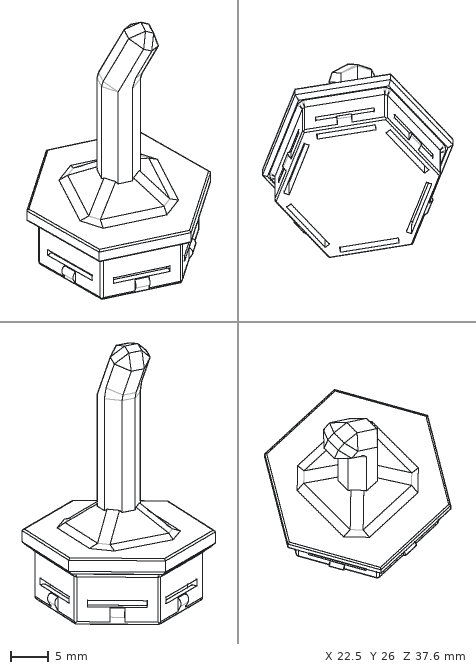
import cadquery as cq
import math


SIDES = 6
SAME_POINT = 1e-6

body_apothem = 9.85
corner_trim = 0.12
bottom_chamfer_height = 0.44
bottom_chamfer_inset = 0.22

flare_height = 0.7
flare_taper = 45

flange_apothem = 11.25
flange_bottom = 7.55
flange_top = 10.0
flange_bottom_chamfer = 0.6
flange_top_chamfer = 0.25

slot_length = 8.0
slot_height = 0.95
slot_bottom = 2.55
slot_depth = 1.5
strip_thickness = 0.75

clip_width = 2.0
clip_radius = 0.85
clip_reach = 0.5

peg_half = 2.75
peg_chamfer = 1.75
bend_height = 29.55
bend_angle = 0.506
total_height = 37.59

foot_half = 6.95
foot_flat_half = 4.5
skirt_half = 5.73
skirt_height = 0.53
cone_run = 3.5
cone_slope = 1.0


def hexagon(apothem, z):
    """Workplane at height z holding a hexagon with corners on the Y axis."""
    across_corners = 2 * apothem / math.cos(math.pi / SIDES)
    plane = cq.Workplane("XY").workplane(offset=z).transformed(rotate=(0, 0, 90))
    return plane.polygon(SIDES, across_corners)


def hex_prism(apothem, bottom, top):
    return hexagon(apothem, bottom).extrude(top - bottom)


def hex_frustum(bottom_apothem, bottom, top_apothem, top):
    lower = hexagon(bottom_apothem, bottom).wire().val()
    upper = hexagon(top_apothem, top).wire().val()
    return cq.Workplane(cq.Solid.makeLoft([lower, upper], True))


def trimmed_hexagon(apothem):
    """Corner points of the body hexagon with each corner cut flat."""
    radius = apothem / math.cos(math.pi / SIDES)
    half_trim = corner_trim * math.tan(math.pi / 3)
    points = []
    for i in range(SIDES):
        angle = math.pi / 2 + i * 2 * math.pi / SIDES
        for side in (-half_trim, half_trim):
            along = radius - corner_trim
            points.append((
                along * math.cos(angle) - side * math.sin(angle),
                along * math.sin(angle) + side * math.cos(angle),
            ))
    return points


def make_body():
    trimmed = cq.Workplane("XY").polyline(trimmed_hexagon(body_apothem)).close().extrude(flange_bottom)
    chamfer = hex_frustum(body_apothem - bottom_chamfer_inset, 0, body_apothem, bottom_chamfer_height)
    upper = hex_prism(body_apothem, bottom_chamfer_height, flange_bottom)
    return trimmed.intersect(chamfer.union(upper))


def make_flare():
    plane = cq.Workplane("XY").workplane(offset=flange_bottom - flare_height)
    outline = plane.polyline(trimmed_hexagon(body_apothem)).close()
    return outline.extrude(flare_height, taper=-flare_taper)


def make_flange():
    lower_edge = flange_bottom + flange_bottom_chamfer
    upper_edge = flange_top - flange_top_chamfer
    lower = hex_frustum(flange_apothem - flange_bottom_chamfer, flange_bottom, flange_apothem, lower_edge)
    middle = hex_prism(flange_apothem, lower_edge, upper_edge)
    upper = hex_frustum(flange_apothem, upper_edge, flange_apothem - flange_top_chamfer, flange_top)
    return lower.union(middle).union(upper)


def around_sides(shape):
    """Six copies of a shape made on the +X face, one for each side face."""
    copies = cq.Workplane("XY")
    for i in range(SIDES):
        copies = copies.add(shape.rotate((0, 0, 0), (0, 0, 1), i * 360 / SIDES))
    return copies.combine()


def make_slot():
    """Slot through the strip, opening into a gap behind the strip that is open at the underside."""
    slot_floor = body_apothem - slot_depth
    gap_width = slot_depth - strip_thickness
    slot = cq.Workplane("XY").box(slot_depth, slot_length, slot_height, centered=(False, True, False))
    gap = cq.Workplane("XY").box(gap_width, slot_length, slot_bottom, centered=(False, True, False))
    return slot.translate((slot_floor, 0, slot_bottom)).union(gap.translate((slot_floor, 0, 0)))


def make_clip():
    """Bump with a round back, tangent to a ramp that carries on the plane of the bottom chamfer."""
    ramp_angle = math.atan2(bottom_chamfer_inset, bottom_chamfer_height)
    foot_x = body_apothem - bottom_chamfer_inset
    center_x = body_apothem + clip_reach - clip_radius
    center_z = (clip_radius + (center_x - foot_x) * math.cos(ramp_angle)) / math.sin(ramp_angle)
    clip_top = center_z + math.sqrt(clip_radius**2 - (body_apothem - center_x) ** 2)
    bulge = (body_apothem + clip_reach, center_z)
    ramp_start = (
        center_x + clip_radius * math.cos(ramp_angle),
        center_z - clip_radius * math.sin(ramp_angle),
    )
    root_x = body_apothem - strip_thickness
    profile = (
        cq.Workplane("XZ")
        .moveTo(root_x, clip_top)
        .lineTo(body_apothem, clip_top)
        .threePointArc(bulge, ramp_start)
        .lineTo(foot_x, 0)
        .lineTo(root_x, 0)
        .close()
    )
    return profile.extrude(clip_width / 2, both=True)


def octagon_wire(half, flat_half, z):
    points = []
    for sx, sy in ((1, 1), (-1, 1), (-1, -1), (1, -1)):
        pair = [(sx * half, sy * flat_half, z), (sx * flat_half, sy * half, z)]
        points += pair if sx == sy else pair[::-1]
    return cq.Wire.makePolygon([cq.Vector(*p) for p in points], close=True)


def make_foot():
    skirt_top = flange_top + skirt_height
    cone_top = skirt_top + cone_run * cone_slope
    base = octagon_wire(foot_half, foot_flat_half, flange_top)
    ring = octagon_wire(skirt_half, foot_flat_half, skirt_top)
    top = octagon_wire(skirt_half - cone_run, foot_flat_half - cone_run, cone_top)
    skirt = cq.Workplane(cq.Solid.makeLoft([base, ring], True))
    return skirt.union(cq.Workplane(cq.Solid.makeLoft([ring, top], True)))


def flat_face(points):
    """Planar face through the points, with repeated points dropped."""
    distinct = []
    for point in points:
        vector = cq.Vector(*point)
        if all((vector - other).Length > SAME_POINT for other in distinct):
            distinct.append(vector)
    return cq.Face.makeFromWires(cq.Wire.makePolygon(distinct, close=True))


def make_peg():
    """Bent bar, chamfered along every edge and at the tip, built face by face.

    "outer" is the (y, z) outline of the middle strip, "inset" that of the two side flats;
    a chamfer facet joins each outer edge to the matching inset edge.
    """
    sin_a = math.sin(bend_angle)
    cos_a = math.cos(bend_angle)
    flat_half = peg_half - peg_chamfer

    def shifted(point, along, across):
        """Move along the bent axis, and across it toward +Y."""
        y, z = point
        return (y + along * sin_a + across * cos_a, z + along * cos_a - across * sin_a)

    back_low = (-peg_half, bend_height)
    front_low = (peg_half, bend_height)
    back_high = shifted((-flat_half, bend_height), 0, -peg_chamfer)
    front_high = (back_high[0] + 2 * peg_half, back_high[1])
    tip_height = total_height - back_high[1]
    peg_tip_run = (tip_height + peg_chamfer * sin_a) / cos_a - peg_chamfer
    back_tip = shifted(back_high, peg_tip_run, 0)
    front_tip = shifted(front_high, peg_tip_run - 2 * peg_half * sin_a, 0)
    outer = [
        (-peg_half, flange_top),
        back_low,
        back_high,
        back_tip,
        shifted(back_tip, peg_chamfer, peg_chamfer),
        shifted(front_tip, peg_chamfer, -peg_chamfer),
        front_tip,
        front_high,
        front_low,
        (peg_half, flange_top),
    ]
    back_tip_inset = shifted(back_tip, 0, peg_chamfer)
    front_tip_inset = shifted(front_tip, 0, -peg_chamfer)
    inset = [
        (-flat_half, flange_top),
        (-flat_half, bend_height),
        (-flat_half, bend_height),
        back_tip_inset,
        back_tip_inset,
        front_tip_inset,
        front_tip_inset,
        shifted(front_high, 0, -peg_chamfer),
        (flat_half, bend_height),
        (flat_half, flange_top),
    ]

    faces = []
    for i in range(len(outer) - 1):
        edge = outer[i:i + 2]
        inset_edge = inset[i:i + 2]
        strip = [(-flat_half, *edge[0]), (-flat_half, *edge[1]), (flat_half, *edge[1]), (flat_half, *edge[0])]
        faces.append(flat_face(strip))
        for side in (-1, 1):
            near = [(side * flat_half, *p) for p in edge]
            far = [(side * peg_half, *p) for p in reversed(inset_edge)]
            faces.append(flat_face(near + far))
    for side in (-1, 1):
        faces.append(flat_face([(side * peg_half, *p) for p in inset]))
    faces.append(cq.Face.makeFromWires(octagon_wire(peg_half, flat_half, flange_top)))
    return cq.Workplane(cq.Solid.makeSolid(cq.Shell.makeShell(faces)))


result = (
    make_body()
    .union(make_flare())
    .union(make_flange())
    .union(around_sides(make_clip()))
    .cut(around_sides(make_slot()))
    .union(make_foot())
    .union(make_peg())
)